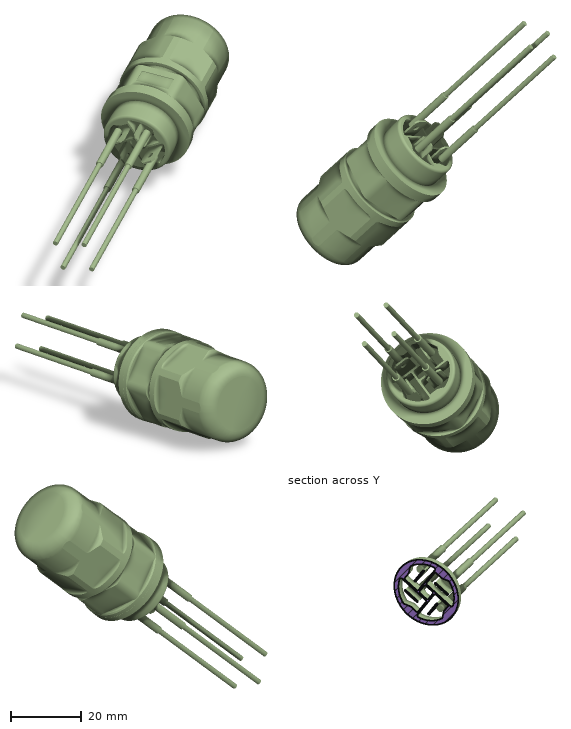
import cadquery as cq
import math


CAP_END = 38.6
SHOULDER_BOTTOM = 25.6
GRIP_STEP = 15.8
CAP_BASE = 13.7
BODY_TOP = 12.4
FLANGE_TOP = 3.7
SEAT_RING_TOP = 2.0
BOSS_END = -7.0
TAB_END = -11.0
SLEEVE_END = -22.0
OVERALL_LENGTH = 95.6
WIRE_END = CAP_END - OVERALL_LENGTH
POCKET_DEPTH = 4.8
POCKET_FLOOR = BOSS_END + POCKET_DEPTH

FLAT_COUNT = 6
DOME_RADIUS = 3.8
SHOULDER_RADIUS = 1.2
GRIP_STEP_RADIUS = 1.0
CROWN_DIAMETER = 23.9
GRIP_DIAMETER = 26.3
ACROSS_FLATS = 23.7
NECK_DIAMETER = 23.8

BODY_ACROSS_FLATS = 23.8
BODY_EDGE_RADIUS = 2.7
FLANGE_DIAMETER = 26.9
SEAT_RING_DIAMETER = 27.0
FLANGE_CHAMFER = 0.4
LABEL_LENGTH = 9.75
LABEL_WIDTH = 4.4
LABEL_CENTRE = 7.9
LABEL_DEPTH = 0.2

BOSS_DIAMETER = 20.4
BOSS_FILLET = 0.8
POCKET_DIAMETER = 17.4
POCKET_CORNER_RADIUS = 0.5
WALL_THICKNESS = 0.6
CORE_HALF_WIDTH = 1.6
CORE_CORNER_RADIUS = 0.6
LEDGE_HEIGHT = 7.3
LEDGE_START = -0.9
LEDGE_SLOPE_RUN = 2.9
LEDGE_SLOPE_RISE = 1.2
CONTACT_TURN = 55.0

CONTACT_COUNT = 4
TAB_WIDTH = 5.1
TAB_THICKNESS = 0.6
TAB_CHAMFER = 1.0
TAB_HOLE_DIAMETER = 2.0
TAB_HOLE_Y = -8.0
SLEEVE_DIAMETER = 2.2
WIRE_DIAMETER = 1.5
CONTACT_U = -2.7
TAB_V = 4.5
SOLDER_OVERLAP = 0.1
WIRE_V = TAB_V + (TAB_THICKNESS + SLEEVE_DIAMETER) / 2 - SOLDER_OVERLAP

AXIS_START = (0, 0, 0)
AXIS_END = (0, 1, 0)


def facing_wires(y):
    """Workplane facing -Y at station y, with X to the right and Z up."""
    return cq.Workplane("XZ", origin=(0, y, 0))


def rod(diameter, y_start, y_end, x=0, z=0):
    """Round bar along Y from y_start down to y_end."""
    return facing_wires(y_start).center(x, z).circle(diameter / 2).extrude(y_start - y_end)


def around_axis(shape, count):
    """The shape repeated evenly around the Y axis."""
    return [shape.rotate(AXIS_START, AXIS_END, i * 360 / count) for i in range(count)]


def make_cap():
    crown_radius = CROWN_DIAMETER / 2
    grip_radius = GRIP_DIAMETER / 2
    shoulder_top = SHOULDER_BOTTOM + grip_radius - crown_radius
    shoulder_tangent = SHOULDER_RADIUS * math.tan(math.pi / 8)
    tangent_offset = shoulder_tangent * math.sqrt(0.5)
    cap = (
        cq.Workplane("XY")
        .moveTo(0, CAP_BASE)
        .lineTo(grip_radius, CAP_BASE)
        .lineTo(grip_radius, SHOULDER_BOTTOM)
        .lineTo(crown_radius + tangent_offset, shoulder_top - tangent_offset)
        .radiusArc((crown_radius, shoulder_top + shoulder_tangent), SHOULDER_RADIUS)
        .lineTo(crown_radius, CAP_END - DOME_RADIUS)
        .radiusArc((crown_radius - DOME_RADIUS, CAP_END), -DOME_RADIUS)
        .lineTo(0, CAP_END)
        .close()
        .revolve(360, AXIS_START, AXIS_END)
    )
    flat = ACROSS_FLATS / 2
    outside = flat + grip_radius
    flat_cutter = (
        cq.Workplane("XY")
        .moveTo(flat, CAP_END)
        .lineTo(flat, GRIP_STEP + GRIP_STEP_RADIUS)
        .radiusArc((flat + GRIP_STEP_RADIUS, GRIP_STEP), -GRIP_STEP_RADIUS)
        .lineTo(outside, GRIP_STEP)
        .lineTo(outside, CAP_END)
        .close()
        .extrude(grip_radius, both=True)
    )
    for cutter in around_axis(flat_cutter, FLAT_COUNT):
        cap = cap.cut(cutter)
    return cap


def make_body():
    corner_diameter = BODY_ACROSS_FLATS / math.cos(math.pi / 6)
    hexagon = (
        facing_wires(BODY_TOP)
        .polygon(6, corner_diameter)
        .extrude(BODY_TOP)
        .edges("|Y")
        .fillet(BODY_EDGE_RADIUS)
    )
    label = cq.Workplane("XY").box(LABEL_LENGTH, LABEL_WIDTH, 2 * LABEL_DEPTH)
    hexagon = hexagon.cut(label.translate((0, LABEL_CENTRE, BODY_ACROSS_FLATS / 2)))
    flange = rod(FLANGE_DIAMETER, FLANGE_TOP, 0).faces(">Y").chamfer(FLANGE_CHAMFER)
    seat_ring = rod(SEAT_RING_DIAMETER, SEAT_RING_TOP, 0)
    neck = rod(NECK_DIAMETER, CAP_BASE, BODY_TOP)
    return hexagon.union(flange).union(seat_ring).union(neck)


def make_contact_pocket():
    """One pocket between two walls, with a ledge left standing at its outer corner.

    Its walls run along X and Z, before the turn of the contact pattern.
    """
    left = -POCKET_DIAMETER / 2
    right = CORE_HALF_WIDTH
    bottom = CORE_HALF_WIDTH + WALL_THICKNESS
    top = POCKET_DIAMETER / 2
    outline = (
        facing_wires(POCKET_FLOOR)
        .polyline([
            (left, bottom),
            (right, bottom),
            (right, LEDGE_HEIGHT),
            (LEDGE_START, LEDGE_HEIGHT),
            (LEDGE_START - LEDGE_SLOPE_RUN, LEDGE_HEIGHT + LEDGE_SLOPE_RISE),
            (LEDGE_START - LEDGE_SLOPE_RUN, top),
            (left, top),
        ])
        .close()
        .extrude(POCKET_DEPTH)
    )
    pocket = outline.intersect(rod(POCKET_DIAMETER, POCKET_FLOOR, BOSS_END))
    wall_corners = pocket.edges("|Y").edges(cq.selectors.BoxSelector(
        (left, BOSS_END, bottom - WALL_THICKNESS),
        (right + WALL_THICKNESS, POCKET_FLOOR, bottom + WALL_THICKNESS),
    ))
    return wall_corners.fillet(POCKET_CORNER_RADIUS)


def make_contact():
    """Tab, sleeve and wire, with U along X and V along Z, before the turn of the pattern."""
    tab_length = POCKET_FLOOR - TAB_END
    tab = (
        cq.Workplane("XY")
        .box(TAB_WIDTH, tab_length, TAB_THICKNESS)
        .edges("|Z and <Y")
        .chamfer(TAB_CHAMFER)
        .translate((CONTACT_U, TAB_END + tab_length / 2, TAB_V))
    )
    hole = (
        cq.Workplane("XY", origin=(CONTACT_U, TAB_HOLE_Y, TAB_V))
        .circle(TAB_HOLE_DIAMETER / 2)
        .extrude(TAB_THICKNESS / 2, both=True)
    )
    sleeve = rod(SLEEVE_DIAMETER, BOSS_END, SLEEVE_END, CONTACT_U, WIRE_V)
    wire = rod(WIRE_DIAMETER, BOSS_END, WIRE_END, CONTACT_U, WIRE_V)
    return tab.cut(hole).union(sleeve).union(wire)


def make_boss():
    boss = rod(BOSS_DIAMETER, 0, BOSS_END).faces("<Y").edges().fillet(BOSS_FILLET)
    core_pocket = (
        facing_wires(POCKET_FLOOR)
        .rect(2 * CORE_HALF_WIDTH, 2 * CORE_HALF_WIDTH)
        .extrude(POCKET_DEPTH)
        .edges("|Y")
        .fillet(CORE_CORNER_RADIUS)
    )
    boss = boss.cut(core_pocket)
    for pocket in around_axis(make_contact_pocket(), CONTACT_COUNT):
        boss = boss.cut(pocket)
    for contact in around_axis(make_contact(), CONTACT_COUNT):
        boss = boss.union(contact)
    return boss.rotate(AXIS_START, AXIS_END, CONTACT_TURN)


result = make_cap().union(make_body()).union(make_boss())